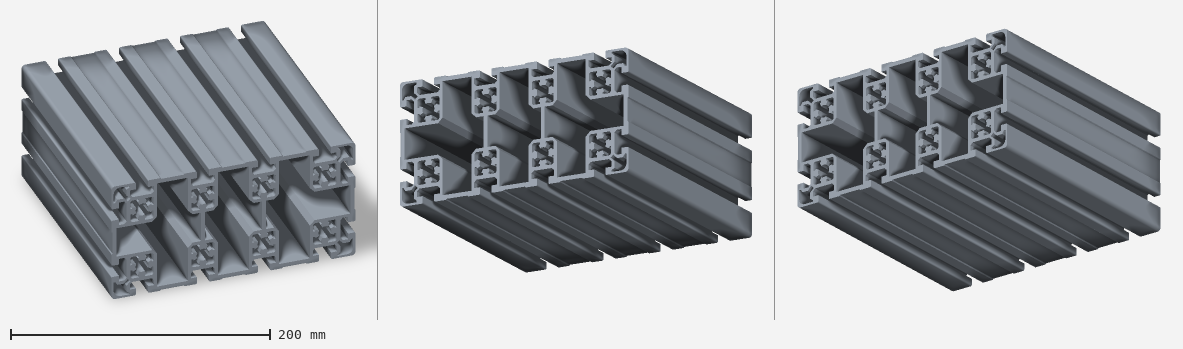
import cadquery as cq
import math

MODULE = 50.0
COLUMNS = 4
ROWS = 2
LENGTH = 200.0
WIDTH = COLUMNS * MODULE
HEIGHT = ROWS * MODULE
CORNER_RADIUS = 3.0

SKIN_DEPTH = 4.2
RECESS_WIDTH = 20.0
RECESS_DEPTH = 0.8
WEB_THICKNESS = 3.2

CORE_HALF = 12.5
CORE_CHAMFER = 4.0
CHAMBER_HALF = 9.5
CHAMBER_FILLET = 2.0

BORE_RADIUS = 5.2
TOOTH_OUTER_RADIUS = 8.5
TOOTH_HALF_ANGLE = math.radians(26)
TOOTH_NECK = 4.8

SLOT_OPENING = 10.0
SLOT_LIP = 6.0
SLOT_HALF = 10.0
SLOT_FLOOR = 12.5
SLOT_CHAMFER = 2.0
LIP_FILLET = 1.0

HOLLOW_SKIN = 1.8
HOLLOW_RADIUS = 5.2
HOLLOW_REACH = 12.2
FOOT_REACH = 14.8
FOOT_WIDTH = 1.5
FOOT_SLOPE = 1.5
CHANNEL_HALF_WIDTH = 1.5
CHANNEL_END = 14.5

CORE_CENTRE = MODULE / 2
CORE_BACK = CORE_CENTRE + CORE_HALF

COLUMN_CENTRES = [(i - (COLUMNS - 1) / 2) * MODULE for i in range(COLUMNS)]
ROW_CENTRES = [(i - (ROWS - 1) / 2) * MODULE for i in range(ROWS)]


def section():
    """Section plane at the -X end of the profile."""
    return cq.Workplane("YZ", origin=(-LENGTH / 2, 0, 0))


def prism(points):
    """Full-length prism on a polygon of (Y, Z) points."""
    return section().polyline(points).close().extrude(LENGTH)


def bar(y_min, y_max, z_min, z_max):
    """Full-length rectangular bar."""
    centre = ((y_min + y_max) / 2, (z_min + z_max) / 2)
    return section().center(*centre).rect(y_max - y_min, z_max - z_min).extrude(LENGTH)


def four_ways(body):
    """The body together with its mirror images across the Y and Z centre planes."""
    pair = body.union(body.mirror("XZ"))
    return pair.union(pair.mirror("XY"))


def on_each_face(shape):
    """Yield a shape for every slot, built at (0, 0) with the outer face up, moved into place."""
    for y in COLUMN_CENTRES:
        yield shape.translate((0, y, HEIGHT / 2))
        yield shape.rotate((0, 0, 0), (1, 0, 0), 180).translate((0, y, -HEIGHT / 2))
    for z in ROW_CENTRES:
        yield shape.rotate((0, 0, 0), (1, 0, 0), -90).translate((0, WIDTH / 2, z))
        yield shape.rotate((0, 0, 0), (1, 0, 0), 90).translate((0, -WIDTH / 2, z))


def corner_post():
    """Block around the corner core, reaching both outer skins (+Y, +Z corner)."""
    inner_y = WIDTH / 2 - CORE_BACK
    inner_z = HEIGHT / 2 - CORE_BACK
    return prism([
        (WIDTH / 2, HEIGHT / 2),
        (inner_y, HEIGHT / 2),
        (inner_y, inner_z + CORE_CHAMFER),
        (inner_y + CORE_CHAMFER, inner_z),
        (WIDTH / 2, inner_z),
    ])


def middle_post(y):
    """Block around a core between the corners, reaching the +Z skin."""
    inner_z = HEIGHT / 2 - CORE_BACK
    block = bar(y - CORE_HALF, y + CORE_HALF, inner_z, HEIGHT / 2)
    return block.edges("|X and <Z").chamfer(CORE_CHAMFER)


def inner_void():
    """Space inside the skin, less the core posts and the upright webs."""
    half_y = WIDTH / 2 - SKIN_DEPTH
    half_z = HEIGHT / 2 - SKIN_DEPTH
    void = bar(-half_y, half_y, -half_z, half_z).cut(four_ways(corner_post()))
    for y in COLUMN_CENTRES[1:-1]:
        post = middle_post(y)
        void = void.cut(post).cut(post.mirror("XY"))
        void = void.cut(bar(y - WEB_THICKNESS / 2, y + WEB_THICKNESS / 2, -half_z, half_z))
    return void


def skin_recess():
    """Shallow recess with sloping sides, outer face at Z = 0."""
    half = RECESS_WIDTH / 2
    return prism([
        (-half, 0),
        (-half + RECESS_DEPTH, -RECESS_DEPTH),
        (half - RECESS_DEPTH, -RECESS_DEPTH),
        (half, 0),
    ])


def t_slot():
    """T-slot, outer face at Z = 0."""
    opening = bar(-SLOT_OPENING / 2, SLOT_OPENING / 2, -SLOT_FLOOR, 0)
    groove = bar(-SLOT_HALF, SLOT_HALF, -SLOT_FLOOR, -SLOT_LIP)
    slot = opening.union(groove.edges("|X and <Z").chamfer(SLOT_CHAMFER))
    rounding = SLOT_OPENING / 2 + LIP_FILLET
    mouth = bar(-rounding, rounding, -LIP_FILLET, 0)
    for y in (-rounding, rounding):
        mouth = mouth.cut(section().center(y, -LIP_FILLET).circle(LIP_FILLET).extrude(LENGTH))
    return slot.union(mouth)


def tooth():
    """Dovetail tooth on the +Z wall of a chamber centred at the origin."""
    def polar(radius, angle):
        return (radius * math.sin(angle), radius * math.cos(angle))

    head = (
        section()
        .moveTo(*polar(BORE_RADIUS, -TOOTH_HALF_ANGLE))
        .threePointArc((0, BORE_RADIUS), polar(BORE_RADIUS, TOOTH_HALF_ANGLE))
        .lineTo(*polar(TOOTH_OUTER_RADIUS, TOOTH_HALF_ANGLE))
        .threePointArc((0, TOOTH_OUTER_RADIUS), polar(TOOTH_OUTER_RADIUS, -TOOTH_HALF_ANGLE))
        .close()
        .extrude(LENGTH)
    )
    neck_start = (BORE_RADIUS + TOOTH_OUTER_RADIUS) / 2
    return head.union(bar(-TOOTH_NECK / 2, TOOTH_NECK / 2, neck_start, CHAMBER_HALF))


def chamber():
    """Hollow of one core, centred at the origin, with its teeth left standing."""
    hollow = bar(-CHAMBER_HALF, CHAMBER_HALF, -CHAMBER_HALF, CHAMBER_HALF)
    hollow = hollow.edges("|X").fillet(CHAMBER_FILLET)
    for turn in range(4):
        hollow = hollow.cut(tooth().rotate((0, 0, 0), (1, 0, 0), 90 * turn))
    return hollow


def corner_hollow():
    """Hollow in the +Y, +Z corner with a diagonal channel towards the core."""
    diagonal = CHANNEL_HALF_WIDTH * math.sqrt(2)
    foot = HOLLOW_SKIN + FOOT_WIDTH
    arc_end = HOLLOW_SKIN + HOLLOW_RADIUS
    arc_middle = arc_end - HOLLOW_RADIUS / math.sqrt(2)
    half = [
        (arc_end, HOLLOW_SKIN),
        (FOOT_REACH, HOLLOW_SKIN),
        (FOOT_REACH, foot),
        (HOLLOW_REACH, foot + FOOT_SLOPE),
        (HOLLOW_REACH, HOLLOW_REACH - diagonal),
        (CHANNEL_END + diagonal / 2, CHANNEL_END - diagonal / 2),
    ]
    outline = half + [(b, a) for a, b in reversed(half)]

    def place(depths):
        return (WIDTH / 2 - depths[0], HEIGHT / 2 - depths[1])

    return (
        section()
        .polyline([place(depths) for depths in outline])
        .threePointArc(place((arc_middle, arc_middle)), place(half[0]))
        .close()
        .extrude(LENGTH)
    )


profile = bar(-WIDTH / 2, WIDTH / 2, -HEIGHT / 2, HEIGHT / 2).edges("|X").fillet(CORNER_RADIUS)
profile = profile.cut(inner_void())

for slot in on_each_face(t_slot()):
    profile = profile.cut(slot)

recess = skin_recess()
for i in range(COLUMNS - 1):
    y = (COLUMN_CENTRES[i] + COLUMN_CENTRES[i + 1]) / 2
    top_recess = recess.translate((0, y, HEIGHT / 2))
    profile = profile.cut(top_recess).cut(top_recess.mirror("XY"))
side_recess = recess.rotate((0, 0, 0), (1, 0, 0), -90).translate((0, WIDTH / 2, 0))
profile = profile.cut(side_recess).cut(side_recess.mirror("XZ"))

for y in COLUMN_CENTRES:
    for z in ROW_CENTRES:
        profile = profile.cut(chamber().translate((0, y, z)))

result = profile.cut(four_ways(corner_hollow()))